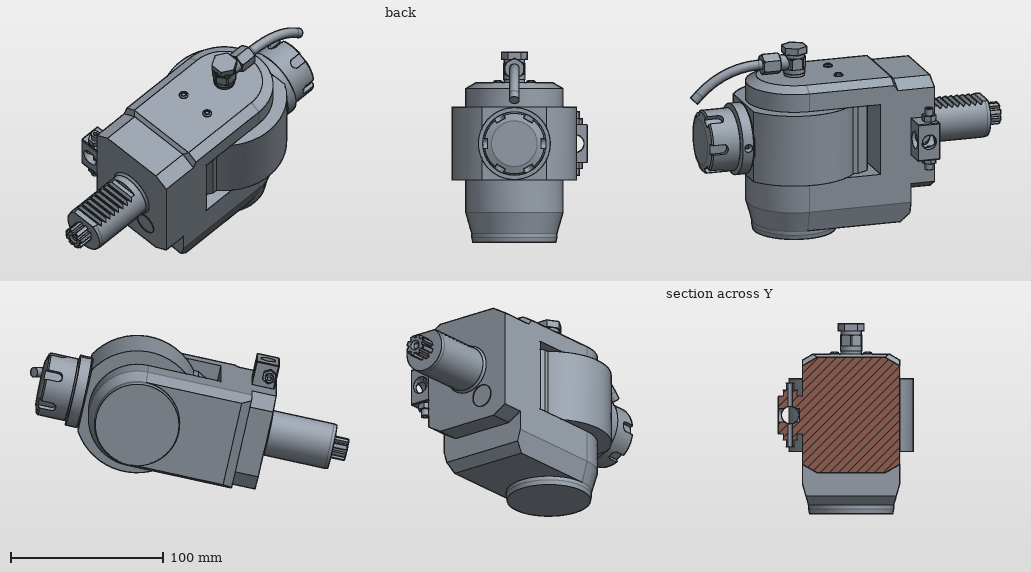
import cadquery as cq
import math


OVERLAP = 0.5

SWIVEL_Y = 86.5
HALF_WIDTH = 32.0
CHAMFER_ANGLE = 30.0
CAP_TOP = 40.1
CAP_CHAMFER_WIDTH = 6.9
CAP_REAR_Y = 27.8
FLANGE_LENGTH = 25.3
FLANGE_TOP = 38.0
FLANGE_BOTTOM = -FLANGE_TOP
FLANGE_CHAMFER_WIDTH = 9.7
BELLY_REAR_Y = 16.2
BELLY_TAPER_TOP = -45.2
BELLY_BOTTOM = -59.2
BELLY_TAPER_WIDTH = 4.0
BELLY_REAR_CHAMFER = 6.2
BASE_DISC_RADIUS = 28.0
BASE_DISC_BOTTOM = -64.9
BASE_DISC_TAPER_TOP = -61.8
BASE_DISC_TAPER_WIDTH = 0.6
SLOT_REAR_Y = 37.3
SLOT_HALF_HEIGHT = 24.0
PLUG_RADIUS = 7.5
PLUG_X, PLUG_Z = 12.5, -21.5
PLUG_RECESS_DEPTH = 0.5

HEAD_RADIUS = 41.0
HEAD_FRONT_Y = 121.6
TAIL_HALF_WIDTH = 25.0
TAIL_SIDE_END_Y = 50.8
TAIL_ARC_RADIUS = 48.1
TAIL_ARC_HALF_WIDTH = 20.7

COLLAR_RADIUS = 23.6
COLLAR_FRONT_Y = 129.6
COLLAR_CHAMFER = 0.8
NECK_RADIUS = 17.6
PIN_SINK_RADIUS = 2.7
PIN_SINK_DEPTH = 2.8
PIN_HOLE_RADIUS = 1.1
PIN_HOLE_DEPTH = 4.0
PIN_HOLE_Y = 125.8
NUT_RADIUS = 20.8
NUT_REAR_Y = 130.8
NUT_SHOULDER_Y = 149.0
NUT_RIM_RADIUS = 19.8
NUT_RIM_Y = 150.0
NUT_FACE_RADIUS = 15.0
NUT_FACE_Y = 151.4
NUT_SLOT_COUNT = 6
NUT_SLOT_WIDTH = 6.6
NUT_SLOT_END_Y = 139.0
NUT_SLOT_FLOOR_RADIUS = 17.5

SHANK_RADIUS = 15.0
SHANK_LENGTH = 44.8
SHANK_LEAD_LENGTH = 2.3
SHANK_LEAD_DEPTH = 0.4
SHANK_COLLAR_RADIUS = 16.2
SHANK_COLLAR_LENGTH = 1.8
RACK_FLAT_Z = 11.9
RACK_START_Y = -6.7
RACK_FIRST_GROOVE_Y = -11.2
RACK_PITCH = 4.0
RACK_GROOVE_COUNT = 8
RACK_GROOVE_DEPTH = 1.7

SPLINE_OUTER_RADIUS = 7.3
SPLINE_ROOT_RADIUS = 5.4
SPLINE_TOOTH_COUNT = 8
SPLINE_TIP_HALF_ANGLE = 12.0
SPLINE_ROOT_HALF_ANGLE = 8.0
SPLINE_END_Y = -54.55
SPLINE_CHAMFER = 0.5
CENTRE_HOLE_RADIUS = 2.0
CENTRE_SINK_RADIUS = 3.4
CENTRE_HOLE_DEPTH = 6.0

COLUMN_RADIUS = 6.8
COLUMN_FLANGE_RADIUS = 7.1
COLUMN_STEP_Z = 42.0
COLUMN_HEX_BOTTOM = 45.2
COLUMN_HEX_TOP = 52.7
COLUMN_HEX_CORNERS = 16.2
COLUMN_HEX_TURNED_RADIUS = 7.8
BOLT_HEAD_BOTTOM = 55.3
BOLT_HEAD_TOP = 60.0
BOLT_HEAD_CORNERS = 17.0
ELBOW_Z = 49.1
ELBOW_RADIUS = 5.2
HOSE_NUT_START_Y = 97.4
HOSE_NUT_END_Y = 109.1
HOSE_NUT_CORNERS = 14.1
HEX_CHAMFER = 0.7
HOSE_RADIUS = 3.2
HOSE_BEND_START_Y = 111.8
HOSE_BEND_RADIUS = 56.8
HOSE_BEND_ANGLE = 45.0
HOSE_TIP_LENGTH = 5.5

SCREW_X, SCREW_Y = 10.85, 59.5
SCREW_RADIUS = 2.9
SCREW_HEIGHT = 1.4
SCREW_CHAMFER = 1.0
SCREW_SOCKET_CORNERS = 3.4
SCREW_SOCKET_DEPTH = 1.2

BLOCK_OUTER_X = -48.0
BLOCK_HALF_HEIGHT = 12.55
BLOCK_NEAR_Y, BLOCK_FAR_Y = 1.4, 16.3
BLOCK_CHAMFER = 0.6
PORT_X = -40.0
THROUGH_PORT_RADIUS = 5.7
SIDE_PORT_RADIUS = 4.9
SIDE_PORT_Y = 8.9
SIDE_PORT_DEPTH = 14.0
NIPPLE_Y = 6.5
NIPPLE_HEX_CORNERS = 9.3
NIPPLE_HEX_TOP = 16.4
NIPPLE_RADIUS = 2.65
NIPPLE_TOP = 20.9
NIPPLE_BORE_RADIUS = 1.3


def box(x_range, y_range, z_range):
    """Box given by its limits along each axis."""
    size = [high - low for low, high in (x_range, y_range, z_range)]
    corner = (x_range[0], y_range[0], z_range[0])
    return cq.Workplane("XY").box(*size, centered=False).translate(corner)


def cylinder_along_y(radius, start_y, end_y, x=0.0, z=0.0):
    plane = cq.Workplane("XZ", origin=(x, start_y, z))
    return plane.circle(radius).extrude(start_y - end_y)


def cylinder_along_z(radius, bottom, top, x, y):
    return cq.Workplane("XY", origin=(x, y, bottom)).circle(radius).extrude(top - bottom)


def hexagon_along_z(corners, bottom, top, x, y, turn=0.0):
    """Vertical hexagonal prism; with no turn two corners point along X."""
    prism = cq.Workplane("XY").polygon(6, corners).extrude(top - bottom)
    return prism.rotate((0, 0, 0), (0, 0, 1), turn).translate((x, y, bottom))


def revolve_about_y(profile):
    """Solid of revolution about the Y axis from (radius, y) points."""
    return cq.Workplane("XY").polyline(profile).close().revolve(360, (0, 0, 0), (0, 1, 0))


def rounded_plan(bottom, height, taper=0.0):
    """Housing plan: parallel sides closed by a half circle about the swivel axis."""
    rear_y = -SWIVEL_Y
    return (
        cq.Workplane("XY", origin=(0, 0, bottom))
        .moveTo(HALF_WIDTH, rear_y)
        .lineTo(HALF_WIDTH, SWIVEL_Y)
        .threePointArc((0, SWIVEL_Y + HALF_WIDTH), (-HALF_WIDTH, SWIVEL_Y))
        .lineTo(-HALF_WIDTH, rear_y)
        .close()
        .extrude(height, taper=taper)
    )


def chamfered_section(y, top, bottom, chamfer_width, chamfer_bottom=True):
    """Wire across the housing at the given y, with sloped upper and lower corners."""
    rise = chamfer_width * math.tan(math.radians(CHAMFER_ANGLE))
    flat = HALF_WIDTH - chamfer_width
    points = [(HALF_WIDTH, top - rise), (flat, top), (-flat, top), (-HALF_WIDTH, top - rise)]
    if chamfer_bottom:
        points += [(-HALF_WIDTH, bottom + rise), (-flat, bottom)]
        points += [(flat, bottom), (HALF_WIDTH, bottom + rise)]
    else:
        points += [(-HALF_WIDTH, bottom), (HALF_WIDTH, bottom)]
    return cq.Workplane("XZ", origin=(0, y, 0)).polyline(points).close()


def make_housing():
    far = 2 * SWIVEL_Y
    wide = (-far, far)

    cap_rise = CAP_CHAMFER_WIDTH * math.tan(math.radians(CHAMFER_ANGLE))
    cap_edge = CAP_TOP - cap_rise
    upper = rounded_plan(0, cap_edge)
    upper = upper.union(rounded_plan(cap_edge, cap_rise, 90 - CHAMFER_ANGLE))
    upper = upper.intersect(box(wide, (CAP_REAR_Y, far), (0, CAP_TOP)))

    taper_height = BELLY_TAPER_TOP - BELLY_BOTTOM
    taper_angle = math.degrees(math.atan(BELLY_TAPER_WIDTH / taper_height))
    skirt = rounded_plan(0, taper_height, taper_angle).mirror("XY").translate((0, 0, BELLY_TAPER_TOP))
    lower = rounded_plan(BELLY_TAPER_TOP, -BELLY_TAPER_TOP).union(skirt)
    lower = lower.intersect(box(wide, (BELLY_REAR_Y, far), (BELLY_BOTTOM, 0)))
    lower = lower.faces("<Z").edges("<Y").chamfer(BELLY_REAR_CHAMFER)

    flange = chamfered_section(0, FLANGE_TOP, FLANGE_BOTTOM, FLANGE_CHAMFER_WIDTH).extrude(-FLANGE_LENGTH)

    front_section = chamfered_section(CAP_REAR_Y, CAP_TOP, 0, CAP_CHAMFER_WIDTH, False)
    rear_section = chamfered_section(FLANGE_LENGTH, FLANGE_TOP, 0, FLANGE_CHAMFER_WIDTH, False)
    step = cq.Workplane(cq.Solid.makeLoft([rear_section.wires().val(), front_section.wires().val()], True))

    housing = lower.union(flange).union(step).union(upper)
    slot = box(wide, (SLOT_REAR_Y, far), (-SLOT_HALF_HEIGHT, SLOT_HALF_HEIGHT))
    plug_recess = cylinder_along_y(PLUG_RADIUS, 0, PLUG_RECESS_DEPTH, PLUG_X, PLUG_Z)
    return housing.cut(slot).cut(plug_recess)


def make_base_disc():
    tip_radius = BASE_DISC_RADIUS - BASE_DISC_TAPER_WIDTH
    profile = [
        (0, BELLY_BOTTOM + OVERLAP),
        (BASE_DISC_RADIUS, BELLY_BOTTOM + OVERLAP),
        (BASE_DISC_RADIUS, BASE_DISC_TAPER_TOP),
        (tip_radius, BASE_DISC_BOTTOM),
        (0, BASE_DISC_BOTTOM),
    ]
    plane = cq.Workplane("XZ", origin=(0, SWIVEL_Y, 0))
    return plane.polyline(profile).close().revolve(360, (0, 0, 0), (0, 1, 0))


def make_head():
    """Round swivel head with a flat front and a tapered tail behind it."""
    front_half = math.sqrt(HEAD_RADIUS**2 - (HEAD_FRONT_Y - SWIVEL_Y) ** 2)
    side_y = SWIVEL_Y - math.sqrt(HEAD_RADIUS**2 - TAIL_HALF_WIDTH**2)
    tail_y = SWIVEL_Y - math.sqrt(TAIL_ARC_RADIUS**2 - TAIL_ARC_HALF_WIDTH**2)
    outline = (
        cq.Workplane("XY", origin=(0, 0, -SLOT_HALF_HEIGHT))
        .moveTo(-front_half, HEAD_FRONT_Y)
        .lineTo(front_half, HEAD_FRONT_Y)
        .threePointArc((HEAD_RADIUS, SWIVEL_Y), (TAIL_HALF_WIDTH, side_y))
        .lineTo(TAIL_HALF_WIDTH, TAIL_SIDE_END_Y)
        .lineTo(TAIL_ARC_HALF_WIDTH, tail_y)
        .threePointArc((0, SWIVEL_Y - TAIL_ARC_RADIUS), (-TAIL_ARC_HALF_WIDTH, tail_y))
        .lineTo(-TAIL_HALF_WIDTH, TAIL_SIDE_END_Y)
        .lineTo(-TAIL_HALF_WIDTH, side_y)
        .threePointArc((-HEAD_RADIUS, SWIVEL_Y), (-front_half, HEAD_FRONT_Y))
        .close()
    )
    return outline.extrude(2 * SLOT_HALF_HEIGHT)


def make_pin_hole():
    """Cutter for the countersunk spanner hole in the side of the collar."""
    profile = [
        (-COLLAR_RADIUS, 0),
        (-COLLAR_RADIUS, PIN_SINK_RADIUS),
        (PIN_SINK_DEPTH - COLLAR_RADIUS, PIN_HOLE_RADIUS),
        (PIN_HOLE_DEPTH - COLLAR_RADIUS, PIN_HOLE_RADIUS),
        (PIN_HOLE_DEPTH - COLLAR_RADIUS, 0),
    ]
    plane = cq.Workplane("XY", origin=(0, PIN_HOLE_Y, 0))
    return plane.polyline(profile).close().revolve(360, (0, 0, 0), (1, 0, 0))


def make_spindle_nose():
    nose = revolve_about_y([
        (0, HEAD_FRONT_Y - OVERLAP),
        (COLLAR_RADIUS - COLLAR_CHAMFER, HEAD_FRONT_Y - OVERLAP),
        (COLLAR_RADIUS - COLLAR_CHAMFER, HEAD_FRONT_Y),
        (COLLAR_RADIUS, HEAD_FRONT_Y + COLLAR_CHAMFER),
        (COLLAR_RADIUS, COLLAR_FRONT_Y),
        (NECK_RADIUS, COLLAR_FRONT_Y),
        (NECK_RADIUS, NUT_REAR_Y),
        (NUT_RADIUS, NUT_REAR_Y),
        (NUT_RADIUS, NUT_SHOULDER_Y),
        (NUT_RIM_RADIUS, NUT_RIM_Y),
        (NUT_FACE_RADIUS, NUT_FACE_Y),
        (0, NUT_FACE_Y),
    ])
    nose = nose.cut(make_pin_hole())

    half_width = NUT_SLOT_WIDTH / 2
    round_y = NUT_SLOT_END_Y + half_width
    slot = (
        cq.Workplane("XY", origin=(0, 0, NUT_SLOT_FLOOR_RADIUS))
        .moveTo(half_width, NUT_FACE_Y)
        .lineTo(half_width, round_y)
        .threePointArc((0, NUT_SLOT_END_Y), (-half_width, round_y))
        .lineTo(-half_width, NUT_FACE_Y)
        .close()
        .extrude(NUT_RADIUS)
    )
    slot_pitch = 360 / NUT_SLOT_COUNT
    for index in range(NUT_SLOT_COUNT):
        angle = (index + 0.5) * slot_pitch
        nose = nose.cut(slot.rotate((0, 0, 0), (0, 1, 0), angle))
    return nose


def make_shank():
    shank = revolve_about_y([
        (0, OVERLAP),
        (SHANK_COLLAR_RADIUS, OVERLAP),
        (SHANK_COLLAR_RADIUS, 0),
        (SHANK_RADIUS, -SHANK_COLLAR_LENGTH),
        (SHANK_RADIUS, SHANK_LEAD_LENGTH - SHANK_LENGTH),
        (SHANK_RADIUS - SHANK_LEAD_DEPTH, -SHANK_LENGTH),
        (0, -SHANK_LENGTH),
    ])
    across = (-SHANK_RADIUS, SHANK_RADIUS)
    shank = shank.cut(box(across, (-SHANK_LENGTH, RACK_START_Y), (RACK_FLAT_Z, SHANK_RADIUS)))
    for index in range(RACK_GROOVE_COUNT):
        groove_y = RACK_FIRST_GROOVE_Y - index * RACK_PITCH
        groove = (
            cq.Workplane("YZ", origin=(-SHANK_RADIUS, 0, 0))
            .moveTo(groove_y - RACK_GROOVE_DEPTH, RACK_FLAT_Z)
            .lineTo(groove_y, RACK_FLAT_Z - RACK_GROOVE_DEPTH)
            .lineTo(groove_y + RACK_GROOVE_DEPTH, RACK_FLAT_Z)
            .close()
            .extrude(2 * SHANK_RADIUS)
        )
        shank = shank.cut(groove)
    return shank


def make_spline():
    """Splined drive end with a centre hole; gaps sit on the X and Z axes."""
    start_y = -SHANK_LENGTH + OVERLAP
    spline = revolve_about_y([
        (0, start_y),
        (SPLINE_OUTER_RADIUS, start_y),
        (SPLINE_OUTER_RADIUS, SPLINE_END_Y + SPLINE_CHAMFER),
        (SPLINE_OUTER_RADIUS - SPLINE_CHAMFER, SPLINE_END_Y),
        (0, SPLINE_END_Y),
    ])
    root_angle = math.radians(SPLINE_ROOT_HALF_ANGLE)
    tip_angle = math.radians(SPLINE_TIP_HALF_ANGLE)
    root_x = SPLINE_ROOT_RADIUS * math.sin(root_angle)
    root_z = SPLINE_ROOT_RADIUS * math.cos(root_angle)
    reach = SPLINE_OUTER_RADIUS + OVERLAP
    tip_x = reach * math.sin(tip_angle)
    tip_z = reach * math.cos(tip_angle)
    gap = (
        cq.Workplane("XZ", origin=(0, -SHANK_LENGTH, 0))
        .moveTo(-tip_x, tip_z)
        .lineTo(-root_x, root_z)
        .threePointArc((0, SPLINE_ROOT_RADIUS), (root_x, root_z))
        .lineTo(tip_x, tip_z)
        .close()
        .extrude(-SHANK_LENGTH - SPLINE_END_Y)
    )
    for index in range(SPLINE_TOOTH_COUNT):
        angle = index * 360 / SPLINE_TOOTH_COUNT
        spline = spline.cut(gap.rotate((0, 0, 0), (0, 1, 0), angle))
    centre_hole = revolve_about_y([
        (0, SPLINE_END_Y),
        (CENTRE_SINK_RADIUS, SPLINE_END_Y),
        (CENTRE_HOLE_RADIUS, SPLINE_END_Y + CENTRE_SINK_RADIUS - CENTRE_HOLE_RADIUS),
        (CENTRE_HOLE_RADIUS, SPLINE_END_Y + CENTRE_HOLE_DEPTH),
        (0, SPLINE_END_Y + CENTRE_HOLE_DEPTH),
    ])
    return spline.cut(centre_hole)


def make_coolant_column():
    base_z = CAP_TOP - OVERLAP
    column = cylinder_along_z(COLUMN_RADIUS, base_z, BOLT_HEAD_BOTTOM, 0, SWIVEL_Y)
    flange = cylinder_along_z(COLUMN_FLANGE_RADIUS, COLUMN_STEP_Z, COLUMN_HEX_BOTTOM, 0, SWIVEL_Y)
    body = hexagon_along_z(COLUMN_HEX_CORNERS, COLUMN_HEX_BOTTOM, COLUMN_HEX_TOP, 0, SWIVEL_Y, 30)
    blank = cylinder_along_z(COLUMN_HEX_TURNED_RADIUS, COLUMN_HEX_BOTTOM, COLUMN_HEX_TOP, 0, SWIVEL_Y)
    body = body.intersect(blank.faces(">Z").edges().chamfer(HEX_CHAMFER))
    head = hexagon_along_z(BOLT_HEAD_CORNERS, BOLT_HEAD_BOTTOM, BOLT_HEAD_TOP, 0, SWIVEL_Y)
    return column.union(flange).union(body).union(head)


def make_hose():
    """Elbow, hexagonal hose nut and the hose bending downwards at its free end."""
    elbow = cylinder_along_y(ELBOW_RADIUS, SWIVEL_Y, HOSE_NUT_START_Y + OVERLAP, z=ELBOW_Z)

    length = HOSE_NUT_END_Y - HOSE_NUT_START_Y
    nut = hexagon_along_z(HOSE_NUT_CORNERS, 0, length, 0, 0)
    radius = HOSE_NUT_CORNERS / 2
    turned_blank = cq.Workplane("XY").circle(radius).extrude(length).edges().chamfer(HEX_CHAMFER)
    nut = nut.intersect(turned_blank).rotate((0, 0, 0), (0, 0, 1), 90)
    nut = nut.rotate((0, 0, 0), (1, 0, 0), -90).translate((0, HOSE_NUT_START_Y, ELBOW_Z))

    bend = math.radians(HOSE_BEND_ANGLE)

    def on_bend(angle):
        y = HOSE_BEND_START_Y + HOSE_BEND_RADIUS * math.sin(angle)
        z = ELBOW_Z - HOSE_BEND_RADIUS * (1 - math.cos(angle))
        return (y, z)

    bend_end = on_bend(bend)
    tip = (bend_end[0] + HOSE_TIP_LENGTH * math.cos(bend), bend_end[1] - HOSE_TIP_LENGTH * math.sin(bend))
    start_y = HOSE_NUT_END_Y - OVERLAP
    path = (
        cq.Workplane("YZ")
        .moveTo(start_y, ELBOW_Z)
        .lineTo(HOSE_BEND_START_Y, ELBOW_Z)
        .threePointArc(on_bend(bend / 2), bend_end)
        .lineTo(*tip)
    )
    hose = cq.Workplane("XZ", origin=(0, start_y, ELBOW_Z)).circle(HOSE_RADIUS).sweep(path)
    return elbow.union(nut).union(hose)


def make_cover_screw(x):
    top = CAP_TOP + SCREW_HEIGHT
    head = cylinder_along_z(SCREW_RADIUS, CAP_TOP - OVERLAP, top, x, SCREW_Y)
    head = head.faces(">Z").edges().chamfer(SCREW_CHAMFER)
    return head.cut(hexagon_along_z(SCREW_SOCKET_CORNERS, top - SCREW_SOCKET_DEPTH, top, x, SCREW_Y))


def make_nipple():
    """Hexagonal coolant nipple standing on top of the distributor block."""
    hexagon_bottom = BLOCK_HALF_HEIGHT - OVERLAP
    body = hexagon_along_z(NIPPLE_HEX_CORNERS, hexagon_bottom, NIPPLE_HEX_TOP, PORT_X, NIPPLE_Y)
    spout = cylinder_along_z(NIPPLE_RADIUS, hexagon_bottom, NIPPLE_TOP, PORT_X, NIPPLE_Y)
    return body.union(spout)


def make_distributor_block():
    height = (-BLOCK_HALF_HEIGHT, BLOCK_HALF_HEIGHT)
    block = box((BLOCK_OUTER_X, OVERLAP - HALF_WIDTH), (BLOCK_NEAR_Y, BLOCK_FAR_Y), height)
    block = block.faces("<Y").edges("<X or <Z or >Z").chamfer(BLOCK_CHAMFER)
    block = block.faces("<X").edges("|Y").chamfer(BLOCK_CHAMFER)
    nipple = make_nipple()
    block = block.union(nipple).union(nipple.mirror("XY"))
    through_port = cylinder_along_y(THROUGH_PORT_RADIUS, BLOCK_NEAR_Y, BLOCK_FAR_Y, PORT_X)
    side_port = cq.Workplane("YZ", origin=(BLOCK_OUTER_X, SIDE_PORT_Y, 0)).circle(SIDE_PORT_RADIUS)
    nipple_bore = cylinder_along_z(NIPPLE_BORE_RADIUS, -NIPPLE_TOP, NIPPLE_TOP, PORT_X, NIPPLE_Y)
    return block.cut(through_port).cut(side_port.extrude(SIDE_PORT_DEPTH)).cut(nipple_bore)


result = make_housing()
result = result.union(make_head())
result = result.union(make_base_disc())
result = result.union(make_spindle_nose())
result = result.union(make_shank())
result = result.union(make_spline())
result = result.union(make_coolant_column())
result = result.union(make_hose())
for screw_x in (-SCREW_X, SCREW_X):
    result = result.union(make_cover_screw(screw_x))
result = result.union(make_distributor_block())